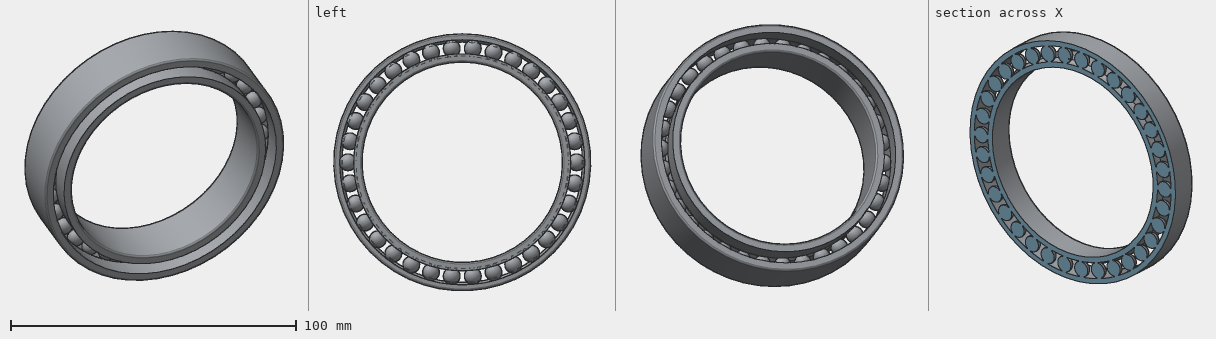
import cadquery as cq
import math

outer_radius = 45
bore_radius = 35.0
width = 20.0
edge_radius = 0.6

ball_count = 34
ball_radius = 3.0
pitch_radius = 80.0 / 2

outer_shoulder_radius = 42.0
inner_shoulder_radius = 38.0

raceway_radius = 3.15
ball_seating = 0.1
outer_groove_bottom = pitch_radius + ball_radius - ball_seating
inner_groove_bottom = pitch_radius - ball_radius + ball_seating

half_width = width / 2


def groove_half_width(groove_depth):
    """Axial distance from the groove bottom to the point where its arc meets the shoulder."""
    return math.sqrt(raceway_radius**2 - (raceway_radius - groove_depth) ** 2)


def revolve_about_axis(profile):
    """Turn a closed (X, radius) profile around the X axis."""
    return profile.close().revolve(360, (0, 0), (1, 0))


def round_rims(body, circle_rank):
    """Round the rims on both end faces: rank 0 is the smallest circle, -1 the largest."""
    rims = cq.selectors.RadiusNthSelector(circle_rank)
    return body.faces("<X or >X").edges(rims).fillet(edge_radius)


def outer_ring():
    """Shoulder on the +X side only; the -X side stays open at the groove bottom radius."""
    groove_end = groove_half_width(outer_groove_bottom - outer_shoulder_radius)
    profile = (
        cq.Workplane("XZ")
        .moveTo(-half_width, outer_radius)
        .lineTo(-half_width, outer_groove_bottom)
        .lineTo(0, outer_groove_bottom)
        .tangentArcPoint((groove_end, outer_shoulder_radius), relative=False)
        .lineTo(half_width, outer_shoulder_radius)
        .lineTo(half_width, outer_radius)
    )
    return round_rims(revolve_about_axis(profile), -1)


def inner_ring():
    """Equal shoulders on both sides of the groove."""
    groove_end = groove_half_width(inner_shoulder_radius - inner_groove_bottom)
    profile = (
        cq.Workplane("XZ")
        .moveTo(-half_width, bore_radius)
        .lineTo(-half_width, inner_shoulder_radius)
        .lineTo(-groove_end, inner_shoulder_radius)
        .threePointArc((0, inner_groove_bottom), (groove_end, inner_shoulder_radius))
        .lineTo(half_width, inner_shoulder_radius)
        .lineTo(half_width, bore_radius)
    )
    return round_rims(revolve_about_axis(profile), 0)


def ball(index):
    first_ball = cq.Workplane("XY", origin=(0, pitch_radius, 0)).sphere(ball_radius)
    return first_ball.rotate((0, 0, 0), (1, 0, 0), 360 * index / ball_count)


result = outer_ring().union(inner_ring())
for ball_index in range(ball_count):
    result = result.union(ball(ball_index))